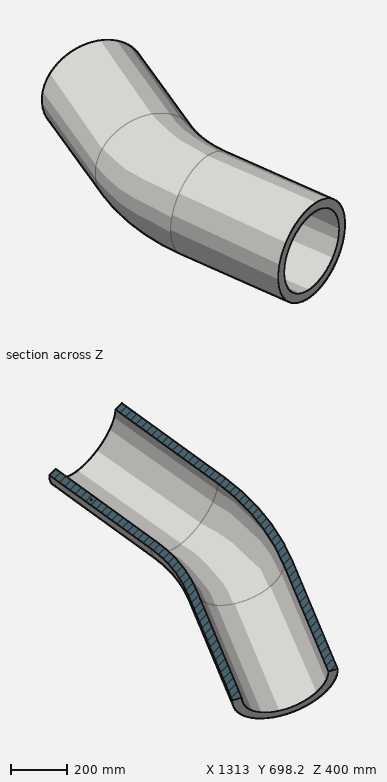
import cadquery as cq
import math

overall_length = 1313.0
outer_diameter = 400.0
inner_diameter = 327.0
bend_angle = 30.0
leg_length = 479.0

bend_sin = math.sin(math.radians(bend_angle))
bend_cos = math.cos(math.radians(bend_angle))
outer_radius = outer_diameter / 2
bend_radius = (overall_length - leg_length * (1 + bend_cos)) / bend_sin - outer_radius


def bend_point(angle):
    """Point on the bend centreline after turning through angle degrees."""
    turn = math.radians(angle)
    x = leg_length + bend_radius * math.sin(turn)
    y = bend_radius * (1 - math.cos(turn))
    return (x, y)


bend_end = bend_point(bend_angle)
far_end = (bend_end[0] + leg_length * bend_cos, bend_end[1] + leg_length * bend_sin)
centreline = (
    cq.Workplane("XY")
    .lineTo(leg_length, 0)
    .threePointArc(bend_point(bend_angle / 2), bend_end)
    .lineTo(*far_end)
)

result = (
    cq.Workplane("YZ")
    .circle(outer_radius)
    .circle(inner_diameter / 2)
    .sweep(centreline)
)